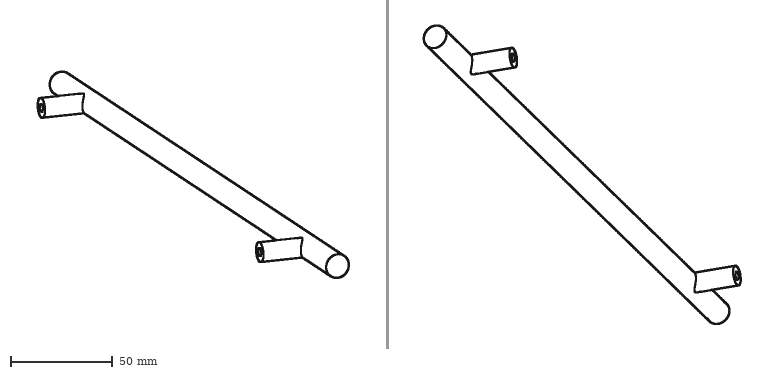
import math

import cadquery as cq

bar_length = 368.0
bar_diameter = 12.0
dome_height = 2.0

overall_depth = 32.0
post_diameter = 10.0
post_spacing = 287.8

hole_diameter = 4.0
hole_depth = 11.0
drill_tip_angle = 118.0

bar_radius = bar_diameter / 2
hole_radius = hole_diameter / 2
drill_tip_height = hole_radius / math.tan(math.radians(drill_tip_angle / 2))
foot_y = bar_radius - overall_depth


def domed_bar():
    """Half profile of the bar revolved about the X axis."""
    end_x = bar_length / 2
    shoulder_x = end_x - dome_height
    dome_radius = (bar_radius**2 + dome_height**2) / (2 * dome_height)
    dome_centre_x = end_x - dome_radius
    half_angle = math.asin(bar_radius / dome_radius) / 2
    dome_mid_x = dome_centre_x + dome_radius * math.cos(half_angle)
    dome_mid_y = dome_radius * math.sin(half_angle)
    return (
        cq.Workplane("XY")
        .moveTo(-end_x, 0)
        .threePointArc((-dome_mid_x, dome_mid_y), (-shoulder_x, bar_radius))
        .lineTo(shoulder_x, bar_radius)
        .threePointArc((dome_mid_x, dome_mid_y), (end_x, 0))
        .close()
        .revolve(360, (0, 0, 0), (1, 0, 0))
    )


def post(x):
    """Cylinder from its foot to the bar axis, so that it merges fully with the bar."""
    plane = cq.Plane(origin=(x, foot_y, 0), xDir=(1, 0, 0), normal=(0, 1, 0))
    return cq.Workplane(plane).circle(post_diameter / 2).extrude(-foot_y)


def screw_hole(x):
    """Drilled hole with a conical bottom, revolved about the post axis."""
    hole_end_y = foot_y + hole_depth
    return (
        cq.Workplane("XY", origin=(x, 0, 0))
        .moveTo(0, foot_y)
        .lineTo(hole_radius, foot_y)
        .lineTo(hole_radius, hole_end_y)
        .lineTo(0, hole_end_y + drill_tip_height)
        .close()
        .revolve(360, (0, 0, 0), (0, 1, 0))
    )


result = domed_bar()
for post_x in (-post_spacing / 2, post_spacing / 2):
    result = result.union(post(post_x)).cut(screw_hole(post_x))